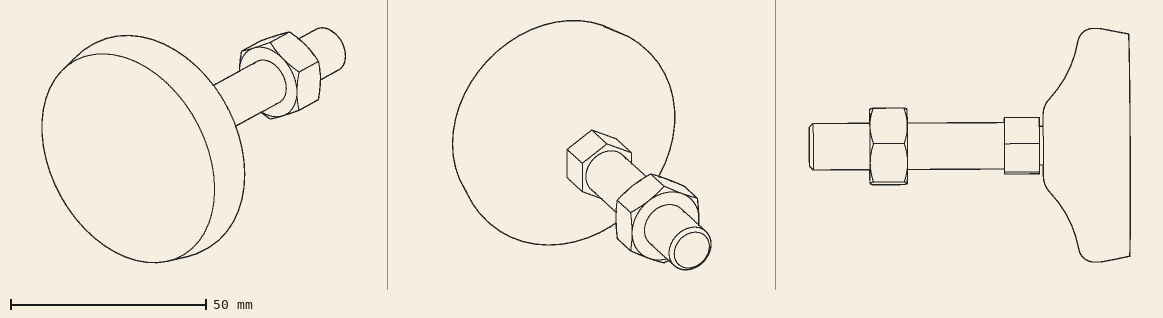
import cadquery as cq
import math

total_length = 82.0

pad_radius = 60.0 / 2
pad_face_radius = 28.5
taper_top = 7.55
band_top = 9.0
rim_fillet = 4.1
rim_slope = math.radians(10)
shoulder_radius = 12.0
shoulder_height = 20.4
pad_height = 22.05

neck_radius = 10.0 / 2
rod_radius = 12.0 / 2
rod_chamfer = 1.0

wrench_flats = 14.0
wrench_start = 23.05
wrench_end = 32.0
nut_flats = 19.0
nut_start = 56.9
nut_end = 66.5
nut_bevel = math.radians(30)


def corner_diameter(flats):
    return flats / math.cos(math.radians(30))


def disc(radius, start, end):
    """Cylinder around Y between two heights."""
    return cq.Workplane("XZ", origin=(0, start, 0)).circle(radius).extrude(start - end)


def hexagon(flats, start, end):
    """Hexagonal prism around Y with flats facing +X and -X."""
    return (
        cq.Workplane("XZ", origin=(0, start, 0))
        .transformed(rotate=(0, 0, 90))
        .polygon(6, corner_diameter(flats))
        .extrude(start - end)
    )


def make_pad():
    """Bell-shaped pad: tapered wall, narrow band, rounded rim and concave flank."""
    rim_end = (
        pad_radius - rim_fillet * (1 - math.sin(rim_slope)),
        band_top + rim_fillet * math.cos(rim_slope),
    )
    chord_slope = math.atan2(shoulder_height - rim_end[1], rim_end[0] - shoulder_radius)
    shoulder_slope = 2 * chord_slope - rim_slope
    shoulder_run = (pad_height - shoulder_height) / math.tan(shoulder_slope / 2)
    return (
        cq.Workplane("XY")
        .lineTo(pad_face_radius, 0)
        .lineTo(pad_radius, taper_top)
        .lineTo(pad_radius, band_top)
        .tangentArcPoint(rim_end, relative=False)
        .tangentArcPoint((shoulder_radius, shoulder_height), relative=False)
        .tangentArcPoint((shoulder_radius - shoulder_run, pad_height), relative=False)
        .lineTo(0, pad_height)
        .close()
        .revolve(360, (0, 0, 0), (0, 1, 0))
    )


def make_nut():
    """Hexagon nut whose corners are bevelled by cones at both ends."""
    flat_radius = nut_flats / 2
    corner_radius = corner_diameter(nut_flats) / 2
    bevel_height = (corner_radius - flat_radius) * math.tan(nut_bevel)
    envelope = (
        cq.Workplane("XY")
        .moveTo(0, nut_start)
        .lineTo(flat_radius, nut_start)
        .lineTo(corner_radius, nut_start + bevel_height)
        .lineTo(corner_radius, nut_end - bevel_height)
        .lineTo(flat_radius, nut_end)
        .lineTo(0, nut_end)
        .close()
        .revolve(360, (0, 0, 0), (0, 1, 0))
    )
    return hexagon(nut_flats, nut_start, nut_end).intersect(envelope)


neck = disc(neck_radius, pad_height, wrench_start)
wrench_hex = hexagon(wrench_flats, wrench_start, wrench_end)
rod = disc(rod_radius, wrench_end, total_length).faces(">Y").chamfer(rod_chamfer)

result = make_pad().union(neck).union(wrench_hex).union(rod).union(make_nut())